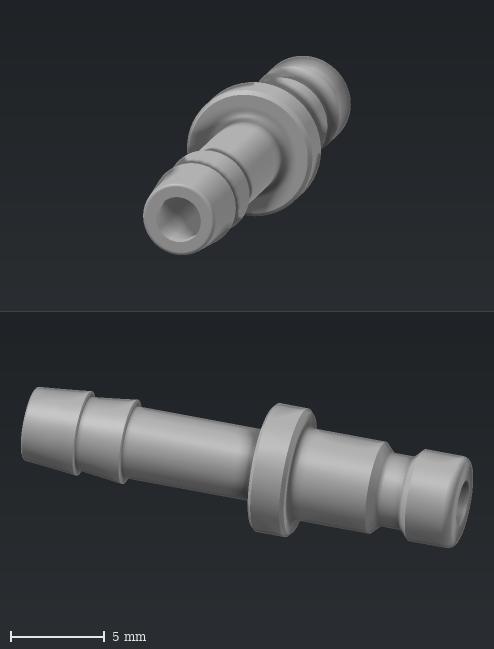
import cadquery as cq
import math

TOTAL_LENGTH = 24.0
BORE_RADIUS = 1.25

PLUG_RADIUS = 2.5
PLUG_NOSE_ROUND = 0.45
GROOVE_RADIUS = 2.0
GROOVE_FLOOR_START = 3.0
GROOVE_FLOOR_END = 4.2
GROOVE_CORNER_ROUND = 0.3

COLLAR_RADIUS = 3.5
COLLAR_START = 9.0
COLLAR_END = 11.0
COLLAR_CHAMFER = 0.2
COLLAR_PLUG_FILLET = 0.3
COLLAR_STEM_FILLET = 0.5

STEM_RADIUS = 1.95
BARB_CREST_RADIUS = 2.3
BARB_TAIL_RADIUS = 2.0
FIRST_BARB_CREST = 18.45
SECOND_BARB_CREST = 21.0
BARB_BACK_LEAN = math.radians(10)
HOSE_END_ROUND = 0.2


def barb_back_depth(root_radius):
    """Axial length of a barb's leaning back face, from its root to its crest."""
    return (BARB_CREST_RADIUS - root_radius) * math.tan(BARB_BACK_LEAN)


def make_profile_corners():
    """Sharp corners of the outer half section, as (radius, station, rounding radius)."""
    groove_depth = PLUG_RADIUS - GROOVE_RADIUS
    first_barb_root = FIRST_BARB_CREST - barb_back_depth(STEM_RADIUS)
    second_barb_root = SECOND_BARB_CREST - barb_back_depth(BARB_TAIL_RADIUS)
    return [
        (PLUG_RADIUS, 0, PLUG_NOSE_ROUND),
        (PLUG_RADIUS, GROOVE_FLOOR_START - groove_depth, 0),
        (GROOVE_RADIUS, GROOVE_FLOOR_START, GROOVE_CORNER_ROUND),
        (GROOVE_RADIUS, GROOVE_FLOOR_END, GROOVE_CORNER_ROUND),
        (PLUG_RADIUS, GROOVE_FLOOR_END + groove_depth, 0),
        (PLUG_RADIUS, COLLAR_START, COLLAR_PLUG_FILLET),
        (COLLAR_RADIUS - COLLAR_CHAMFER, COLLAR_START, 0),
        (COLLAR_RADIUS, COLLAR_START + COLLAR_CHAMFER, 0),
        (COLLAR_RADIUS, COLLAR_END - COLLAR_CHAMFER, 0),
        (COLLAR_RADIUS - COLLAR_CHAMFER, COLLAR_END, 0),
        (STEM_RADIUS, COLLAR_END, COLLAR_STEM_FILLET),
        (STEM_RADIUS, first_barb_root, 0),
        (BARB_CREST_RADIUS, FIRST_BARB_CREST, 0),
        (BARB_TAIL_RADIUS, second_barb_root, 0),
        (BARB_CREST_RADIUS, SECOND_BARB_CREST, 0),
        (BARB_TAIL_RADIUS, TOTAL_LENGTH, HOSE_END_ROUND),
    ]


def add_rounded_corner(outline, before, corner, after, radius):
    """Draw a line up to the corner and a tangent arc of the given radius around it."""
    vertex = cq.Vector(*corner)
    toward_before = (cq.Vector(*before) - vertex).normalized()
    toward_after = (cq.Vector(*after) - vertex).normalized()
    half_angle = toward_before.getAngle(toward_after) / 2
    setback = radius / math.tan(half_angle)
    bisector = (toward_before + toward_after).normalized()
    arc_start = vertex + toward_before * setback
    arc_middle = vertex + bisector * (radius / math.sin(half_angle) - radius)
    arc_end = vertex + toward_after * setback
    return (
        outline.lineTo(arc_start.x, arc_start.y)
        .threePointArc((arc_middle.x, arc_middle.y), (arc_end.x, arc_end.y))
    )


def make_fitting():
    """Revolve the half section, bounded inside by the through bore, about the Y axis."""
    corners = make_profile_corners()
    bore_start = (BORE_RADIUS, 0)
    bore_end = (BORE_RADIUS, -TOTAL_LENGTH)
    points = [(radius, -station) for radius, station, _ in corners]
    before_points = [bore_start] + points[:-1]
    after_points = points[1:] + [bore_end]

    outline = cq.Workplane("XY").moveTo(*bore_start)
    for before, point, after, corner in zip(before_points, points, after_points, corners):
        rounding = corner[2]
        if rounding > 0:
            outline = add_rounded_corner(outline, before, point, after, rounding)
        else:
            outline = outline.lineTo(*point)
    outline = outline.lineTo(*bore_end).close()
    return outline.revolve(360, (0, 0, 0), (0, 1, 0))


result = make_fitting()